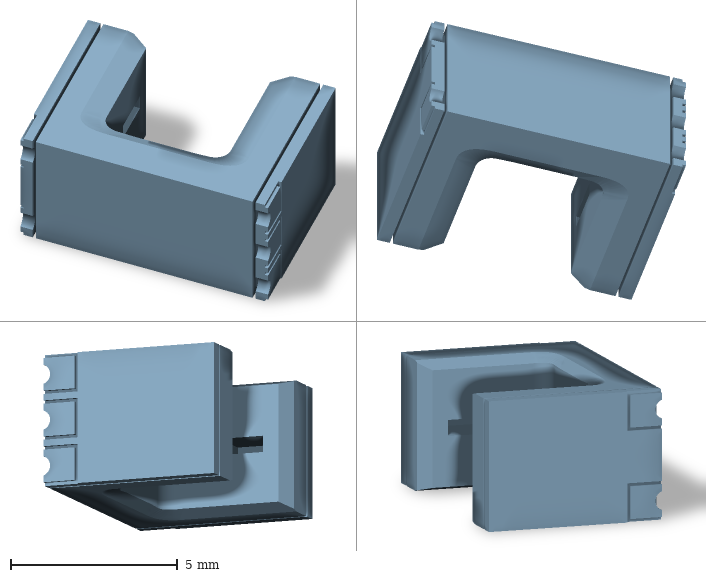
import cadquery as cq

length_x = 8.0
depth_y = 5.5
height_z = 4.0
front_y = -depth_y / 2
rear_y = depth_y / 2
top_z = height_z / 2
overcut = 0.8

body_length = 7.0
board_thickness = 0.4
spacer_inset = 0.25

slot_width = 4.0
web_thickness = 1.5
slot_corner_radius = 0.5
slot_floor_y = front_y + web_thickness
arm_tip_bevel_x = 0.52
arm_tip_bevel_y = 0.3

rim_inset_x = 0.7
rim_inset_y = 0.4
rim_drop = 0.2
rim_corner_radius = 2.0
rim_overrun = 1.2

window_width = 1.4
window_height = 0.5
window_center_y = 1.25

pad_size = 1.0
pad_frame_height = 1.2
groove_width = (pad_frame_height - pad_size) / 2
groove_depth = 0.1
corner_pad_z = top_z - pad_frame_height / 2
left_pad_heights = (-corner_pad_z, corner_pad_z)
right_pad_heights = (-corner_pad_z, 0, corner_pad_z)

notch_radius = 0.3
notch_center_offset = 0.1
notch_center_y = front_y - notch_center_offset


def make_slot():
    """Slot that is open to the rear, with rounded inner corners and bevelled arm tips."""
    half_width = slot_width / 2
    slot = (
        cq.Workplane("XY")
        .box(slot_width, rear_y + overcut - slot_floor_y, height_z, centered=(True, False, True))
        .translate((0, slot_floor_y, 0))
        .edges("|Z and <Y")
        .fillet(slot_corner_radius)
    )
    mouth = (
        cq.Workplane("XY")
        .workplane(offset=-top_z)
        .moveTo(-half_width, rear_y - arm_tip_bevel_y)
        .lineTo(-half_width - arm_tip_bevel_x, rear_y)
        .lineTo(half_width + arm_tip_bevel_x, rear_y)
        .lineTo(half_width, rear_y - arm_tip_bevel_y)
        .close()
        .extrude(height_z)
    )
    return slot.union(mouth)


def make_rim_cutter():
    """Wedge that slopes the top rim of the slot and blends its two front corners.

    The slopes run on past both ends of the rim, to leave room for the blends.
    """
    open_y = rear_y + overcut
    lower_width = slot_width - 2 * rim_overrun * rim_inset_x
    lower_depth = open_y - slot_floor_y - rim_overrun * rim_inset_y
    growth = 1 + 2 * rim_overrun
    upper_width = lower_width + 2 * growth * rim_inset_x
    upper_depth = lower_depth + growth * rim_inset_y
    wedge = (
        cq.Workplane("XY")
        .workplane(offset=top_z - rim_drop * (1 + rim_overrun))
        .center(0, open_y - lower_depth / 2)
        .rect(lower_width, lower_depth)
        .workplane(offset=rim_drop * growth)
        .center(0, (lower_depth - upper_depth) / 2)
        .rect(upper_width, upper_depth)
        .loft(ruled=True)
    )
    return wedge.faces("<Y").edges("not |X").fillet(rim_corner_radius)


def make_body():
    rim_cutter = make_rim_cutter()
    windows = cq.Workplane("XY").box(body_length, window_width, window_height)
    return (
        cq.Workplane("XY")
        .box(body_length, depth_y, height_z)
        .cut(make_slot())
        .cut(rim_cutter)
        .cut(rim_cutter.mirror("XY"))
        .cut(windows.translate((0, window_center_y, 0)))
    )


def make_spacer(side):
    """Plate between the body and a board, set in from their edges on all four sides."""
    thickness = (length_x - body_length) / 2 - board_thickness
    center_x = side * (body_length + thickness) / 2
    return (
        cq.Workplane("XY")
        .box(thickness, depth_y - 2 * spacer_inset, height_z - 2 * spacer_inset)
        .translate((center_x, 0, 0))
    )


def make_pad_groove():
    """Groove around three sides of a pad that reaches the front edge of its board."""
    from_front_face = (True, False, True)
    frame = cq.Workplane("XY").box(
        2 * groove_depth, pad_size + groove_width, pad_frame_height, centered=from_front_face
    )
    pad = cq.Workplane("XY").box(2 * groove_depth, pad_size, pad_size, centered=from_front_face)
    return frame.cut(pad)


def make_board(side, pad_heights):
    """End board; side is -1 for the left end and +1 for the right end."""
    outer_x = side * length_x / 2
    center_x = outer_x - side * board_thickness / 2
    board = cq.Workplane("XY").box(board_thickness, depth_y, height_z).translate((center_x, 0, 0))
    groove = make_pad_groove()
    notch = cq.Workplane("YZ").circle(notch_radius).extrude(board_thickness / 2, both=True)
    for pad_z in pad_heights:
        board = board.cut(groove.translate((outer_x, front_y, pad_z)))
        board = board.cut(notch.translate((center_x, notch_center_y, pad_z)))
    return board


result = (
    make_body()
    .union(make_spacer(-1))
    .union(make_spacer(1))
    .union(make_board(-1, left_pad_heights))
    .union(make_board(1, right_pad_heights))
)